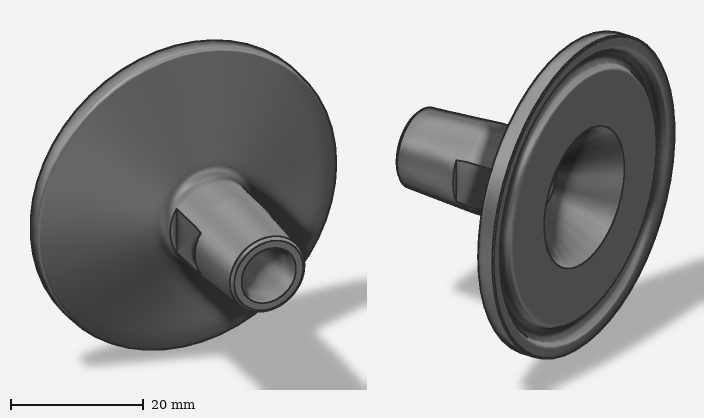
import cadquery as cq
import math

FLANGE_RADIUS = 25.25
TOTAL_LENGTH = 30.0

FACE_EDGE_CHAMFER = 0.2
RIM_END = 2.3
RIM_FILLET = 0.75
BACK_ANGLE = 20.0

NECK_RADIUS = 7.05
NECK_FILLET = 2.0
TAPER_START = 17.25
TAPER_SLOPE = 1 / 16
TIP_CHAMFER = 0.5

FLATS_START = 11.0
FLATS_END = 19.1
ACROSS_FLATS = 12.0

BORE_RADIUS = 4.6
ENTRY_RADIUS = 11.1
ENTRY_DEPTH = 8.0

GROOVE_RADIUS = 21.7
GROOVE_HALF_WIDTH = 2.0
GROOVE_LIP_WIDTH = 0.8
GROOVE_WALL_WIDTH = 0.125
GROOVE_WALL_ANGLE = 70.0


def make_body():
    """Revolve the solid outline: flange, conical back, neck and taper."""
    slope = math.radians(BACK_ANGLE)
    turn = math.pi / 2 - slope
    rim_corner = RIM_END + RIM_FILLET * math.tan(turn / 2)
    neck_corner = rim_corner + (FLANGE_RADIUS - NECK_RADIUS) * math.tan(slope)
    neck_start = neck_corner + NECK_FILLET * math.tan(turn / 2)

    def rim_point(angle):
        return (
            RIM_END + RIM_FILLET * math.sin(angle),
            FLANGE_RADIUS - RIM_FILLET * (1 - math.cos(angle)),
        )

    def neck_point(angle):
        return (
            neck_start - NECK_FILLET * math.sin(angle),
            NECK_RADIUS + NECK_FILLET * (1 - math.cos(angle)),
        )

    chamfer_start = TOTAL_LENGTH - TIP_CHAMFER
    tip_radius = NECK_RADIUS - (chamfer_start - TAPER_START) * TAPER_SLOPE
    return (
        cq.Workplane("XY")
        .moveTo(0, 0)
        .lineTo(0, FLANGE_RADIUS - FACE_EDGE_CHAMFER)
        .lineTo(FACE_EDGE_CHAMFER, FLANGE_RADIUS)
        .lineTo(RIM_END, FLANGE_RADIUS)
        .threePointArc(rim_point(turn / 2), rim_point(turn))
        .lineTo(*neck_point(turn))
        .threePointArc(neck_point(turn / 2), neck_point(0))
        .lineTo(TAPER_START, NECK_RADIUS)
        .lineTo(chamfer_start, tip_radius)
        .lineTo(TOTAL_LENGTH, tip_radius - TIP_CHAMFER)
        .lineTo(TOTAL_LENGTH, 0)
        .close()
        .revolve(360, (0, 0, 0), (1, 0, 0))
    )


def make_bore():
    """Conical entry running into a straight through bore."""
    return (
        cq.Workplane("XY")
        .polyline([
            (0, 0),
            (0, ENTRY_RADIUS),
            (ENTRY_DEPTH, BORE_RADIUS),
            (TOTAL_LENGTH, BORE_RADIUS),
            (TOTAL_LENGTH, 0),
        ])
        .close()
        .revolve(360, (0, 0, 0), (1, 0, 0))
    )


def make_groove():
    """Gasket groove whose straight walls run tangent into the lip and floor arcs."""
    turn = math.radians(GROOVE_WALL_ANGLE)
    floor_half_width = GROOVE_HALF_WIDTH - GROOVE_LIP_WIDTH - GROOVE_WALL_WIDTH
    lip_arc = GROOVE_LIP_WIDTH / math.sin(turn)
    floor_arc = floor_half_width / math.sin(turn)
    wall_top = lip_arc * (1 - math.cos(turn))
    wall_bottom = wall_top + GROOVE_WALL_WIDTH * math.tan(turn)
    depth = wall_bottom + floor_arc * (1 - math.cos(turn))

    def lip_point(side, angle):
        offset = GROOVE_HALF_WIDTH - lip_arc * math.sin(angle)
        return (lip_arc * (1 - math.cos(angle)), GROOVE_RADIUS + side * offset)

    return (
        cq.Workplane("XY")
        .moveTo(*lip_point(-1, 0))
        .threePointArc(lip_point(-1, turn / 2), lip_point(-1, turn))
        .lineTo(wall_bottom, GROOVE_RADIUS - floor_half_width)
        .threePointArc((depth, GROOVE_RADIUS), (wall_bottom, GROOVE_RADIUS + floor_half_width))
        .lineTo(*lip_point(1, turn))
        .threePointArc(lip_point(1, turn / 2), lip_point(1, 0))
        .close()
        .revolve(360, (0, 0, 0), (1, 0, 0))
    )


def make_flat_cutter(side):
    """Block that removes the neck beyond one wrench flat."""
    block_center = (
        (FLATS_START + FLATS_END) / 2,
        side * (ACROSS_FLATS + NECK_RADIUS) / 2,
        0,
    )
    return (
        cq.Workplane("XY")
        .box(FLATS_END - FLATS_START, NECK_RADIUS, 2 * NECK_RADIUS)
        .translate(block_center)
    )


body = make_body().cut(make_bore()).cut(make_groove())
for flat_side in (-1, 1):
    body = body.cut(make_flat_cutter(flat_side))

result = body